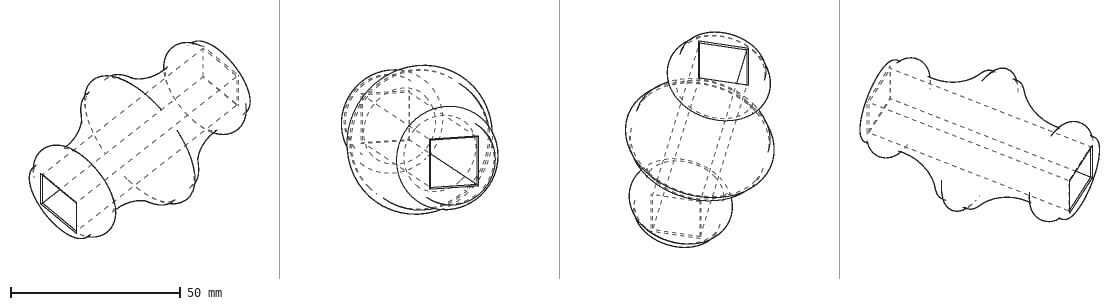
import cadquery as cq
import math

length = 67.0
half_length = length / 2
largest_diameter = 44.95

end_radius = 13.05
neck_radius = 11.85
shoulder_radius = 20.4

end_bead_radius = 15.55
end_bead_place = 26.95
end_bead_round = 4.55
middle_bead_radius = largest_diameter / 2
blend = 1.0

cove_start = 20.3
shoulder_outer = 4.15
shoulder_inner = 3.1

hole_side = 14.35
hole_chamfer = 0.4


def root_offset(bead_peak, bead_round, cylinder_radius):
    """Axial distance from a bead's centre to the centre of its root blend."""
    rise = cylinder_radius + blend - (bead_peak - bead_round)
    return math.sqrt((bead_round + blend) ** 2 - rise**2)


def touch_point(center, other_center, radius):
    """Point where the circle around center touches the one around other_center."""
    distance = math.dist(center, other_center)
    return tuple(a + (b - a) * radius / distance for a, b in zip(center, other_center))


def arc_middle(center, start, end):
    """Middle point of the short arc around center from start to end."""
    chord_middle = tuple((a + b) / 2 for a, b in zip(start, end))
    return touch_point(center, chord_middle, math.dist(center, start))


end_bead_center = (end_bead_radius - end_bead_round, end_bead_place)
outer_root = end_bead_place + root_offset(end_bead_radius, end_bead_round, end_radius)
inner_root = end_bead_place - root_offset(end_bead_radius, end_bead_round, neck_radius)
outer_root_center = (end_radius + blend, outer_root)
inner_root_center = (neck_radius + blend, inner_root)
outer_joint = touch_point(outer_root_center, end_bead_center, blend)
inner_joint = touch_point(inner_root_center, end_bead_center, blend)

shoulder_round_center = (shoulder_radius - blend, shoulder_outer)
cove_run = cove_start - shoulder_outer
cove_rise = shoulder_round_center[0] - neck_radius
cove_radius = (cove_run**2 + cove_rise**2 - blend**2) / (2 * (cove_rise + blend))
cove_center = (neck_radius + cove_radius, cove_start)
cove_joint = touch_point(shoulder_round_center, cove_center, blend)

root_drop = middle_bead_radius - shoulder_radius - blend
middle_bead_round = (shoulder_inner**2 + root_drop**2 - blend**2) / (2 * (root_drop + blend))
middle_bead_center = (middle_bead_radius - middle_bead_round, 0)
middle_root_center = (shoulder_radius + blend, shoulder_inner)
middle_joint = touch_point(middle_root_center, middle_bead_center, blend)


def half_outline():
    """Outline of the +Y half from its end face to the middle bead.

    Each stretch is (point on the arc, end point); a straight one has None as its first item.
    """
    end_round_center = (end_radius - blend, half_length - blend)
    end_round_start = (end_radius - blend, half_length)
    end_round_end = (end_radius, half_length - blend)
    outer_root_start = (end_radius, outer_root)
    inner_root_end = (neck_radius, inner_root)
    neck_end = (neck_radius, cove_start)
    shoulder_start = (shoulder_radius, shoulder_outer)
    shoulder_end = (shoulder_radius, shoulder_inner)
    return [
        (None, (0, half_length)),
        (None, end_round_start),
        (arc_middle(end_round_center, end_round_start, end_round_end), end_round_end),
        (None, outer_root_start),
        (arc_middle(outer_root_center, outer_root_start, outer_joint), outer_joint),
        ((end_bead_radius, end_bead_place), inner_joint),
        (arc_middle(inner_root_center, inner_joint, inner_root_end), inner_root_end),
        (None, neck_end),
        (arc_middle(cove_center, neck_end, cove_joint), cove_joint),
        (arc_middle(shoulder_round_center, cove_joint, shoulder_start), shoulder_start),
        (None, shoulder_end),
        (arc_middle(middle_root_center, shoulder_end, middle_joint), middle_joint),
    ]


def mirrored(point):
    return (point[0], -point[1])


def add_stretch(outline, through, end):
    if through is None:
        return outline.lineTo(*end)
    return outline.threePointArc(through, end)


def turned_body():
    """Full body of revolution about Y."""
    stretches = half_outline()
    outline = cq.Workplane("XY").moveTo(*stretches[0][1])
    for through, end in stretches[1:]:
        outline = add_stretch(outline, through, end)

    outline = outline.threePointArc((middle_bead_radius, 0), mirrored(middle_joint))

    for index in range(len(stretches) - 1, 0, -1):
        through = stretches[index][0]
        end = mirrored(stretches[index - 1][1])
        outline = add_stretch(outline, through and mirrored(through), end)
    return outline.close().revolve(360, (0, 0, 0), (0, 1, 0))


def square_hole():
    """Square bar through the part, flared at both ends for the hole chamfers."""
    bar = cq.Workplane("XY").box(hole_side, length, hole_side)
    mouth_side = hole_side + 2 * hole_chamfer
    for end in (-1, 1):
        mouth = (
            cq.Workplane("XZ", origin=(0, end * half_length, 0))
            .rect(mouth_side, mouth_side)
            .workplane(offset=end * hole_chamfer)
            .rect(hole_side, hole_side)
            .loft(ruled=True)
        )
        bar = bar.union(mouth)
    return bar


result = turned_body().cut(square_hole())